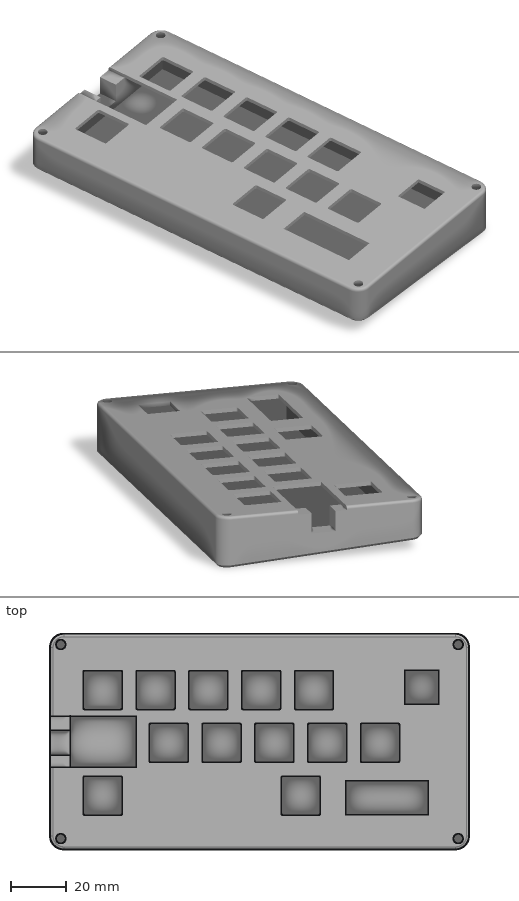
import cadquery as cq

length = 151.0
width = 77.8
height = 19.5
front_rise = 4.4
corner_radius = 5.0
top_round = 1.0
bottom_chamfer = 1.0

lid_thickness = 1.5

wall = 7.3
cavity_depth = 12.0

screw_diameter = 3.5
screw_inset = 4.0

key_size = 14.0
key_pitch = 19.0
key_corner_radius = 0.6
first_key_x = -56.5
first_key_y = 18.6
stagger = 1.25
key_columns = 5
thumb_columns = (0, 3.75)

switch_length = 12.1
switch_width = 12.2
switch_center = (58.5, 19.6)
display_length = 29.6
display_width = 12.2
display_center = (45.9, -20.2)
controller_length = 31.1
controller_width = 18.5

cable_slot_width = 9.0
cable_slot_depth = 9.0
cable_slot_y = -0.5

lid_bottom = height - lid_thickness
cavity_floor = height - cavity_depth
screw_points = [
    (sx * (length / 2 - screw_inset), sy * (width / 2 - screw_inset))
    for sx in (-1, 1)
    for sy in (-1, 1)
]


def block(x_size, y_size, bottom, top, center=(0, 0)):
    """Upright rectangular block between two heights."""
    return (
        cq.Workplane("XY", origin=(center[0], center[1], bottom))
        .rect(x_size, y_size)
        .extrude(top - bottom)
    )


def lid_opening(x_size, y_size, center):
    """Rectangular block as thick as the lid, for cutting an opening through it."""
    return block(x_size, y_size, lid_bottom, height, center)


def screw_holes(bottom):
    """Cylinders for the four corner screws, from the given height up to the lid's top face."""
    return (
        cq.Workplane("XY", origin=(0, 0, bottom))
        .pushPoints(screw_points)
        .circle(screw_diameter / 2)
        .extrude(height - bottom)
    )


def key_points():
    """Centres of all key openings."""
    back = [(column, 0) for column in range(key_columns)]
    middle = [(column + stagger, 1) for column in range(key_columns)]
    thumb = [(column, 2) for column in thumb_columns]
    return [
        (first_key_x + column * key_pitch, first_key_y - row * key_pitch)
        for column, row in back + middle + thumb
    ]


def make_case():
    """Wedge-shaped tray with a flat-floored cavity and a cable slot."""
    slope = front_rise / (width - bottom_chamfer)
    back_edge_z = -bottom_chamfer * slope
    wedge = (
        cq.Workplane("YZ", origin=(-length / 2, 0, 0))
        .moveTo(-width / 2, front_rise)
        .lineTo(width / 2, back_edge_z)
        .lineTo(width / 2, lid_bottom)
        .lineTo(-width / 2, lid_bottom)
        .close()
        .extrude(length)
    )
    case = wedge.edges("|Z").fillet(corner_radius)
    case = case.faces("<Z").edges().chamfer(bottom_chamfer)
    cavity = block(length - 2 * wall, width - 2 * wall, cavity_floor, lid_bottom)
    cable_slot = block(
        wall, cable_slot_width, height - cable_slot_depth, lid_bottom,
        ((wall - length) / 2, cable_slot_y),
    )
    return case.cut(cavity).cut(cable_slot).cut(screw_holes(cavity_floor))


def make_lid():
    """Flat cover with openings for keys, switch, display, controller and screws."""
    lid = block(length, width, lid_bottom, height).edges("|Z").fillet(corner_radius)
    lid = lid.faces(">Z").edges().fillet(top_round)
    for point in key_points():
        lid = lid.cut(lid_opening(key_size, key_size, point).edges("|Z").fillet(key_corner_radius))
    lid = lid.cut(lid_opening(switch_length, switch_width, switch_center))
    lid = lid.cut(lid_opening(display_length, display_width, display_center))
    controller_center = ((controller_length - length) / 2, 0)
    lid = lid.cut(lid_opening(controller_length, controller_width, controller_center))
    return lid.cut(screw_holes(lid_bottom))


case = make_case()
lid = make_lid()
result = cq.Compound.makeCompound([case.val(), lid.val()])